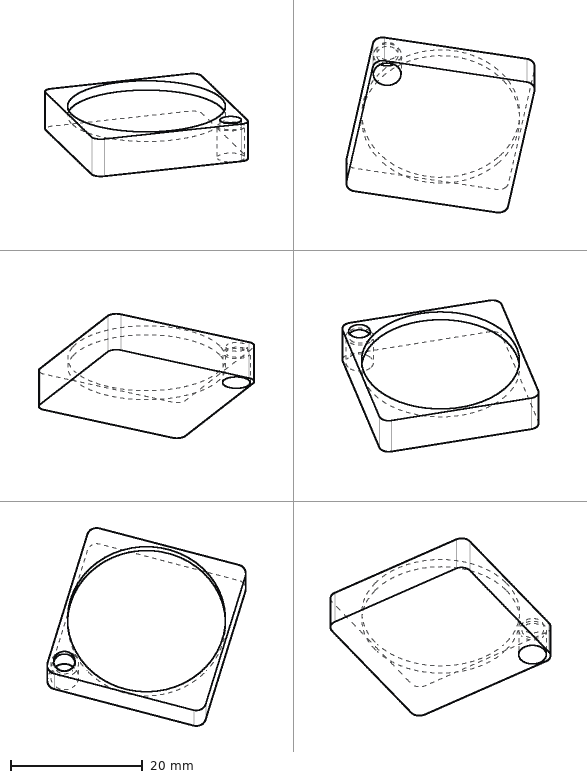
import cadquery as cq

side = 25
height = 6
corner_radius = 1.5

pocket_diameter = 24
pocket_depth = 1.5

hole_diameter = 3.25
hole_offset = 10.1

bore_diameter = 4.2
lip_thickness = 1

body = (
    cq.Workplane("XY")
    .rect(side, side)
    .extrude(height)
    .edges("|Z")
    .fillet(corner_radius)
)

pocket = (
    cq.Workplane("XY")
    .workplane(offset=height - pocket_depth)
    .circle(pocket_diameter / 2)
    .extrude(pocket_depth)
)

corner_hole = (
    cq.Workplane("XY")
    .center(hole_offset, hole_offset)
    .circle(hole_diameter / 2)
    .extrude(height)
)

lower_bore = (
    cq.Workplane("XY")
    .center(hole_offset, hole_offset)
    .circle(bore_diameter / 2)
    .extrude(height - lip_thickness)
)

result = body.cut(pocket).cut(corner_hole).cut(lower_bore)